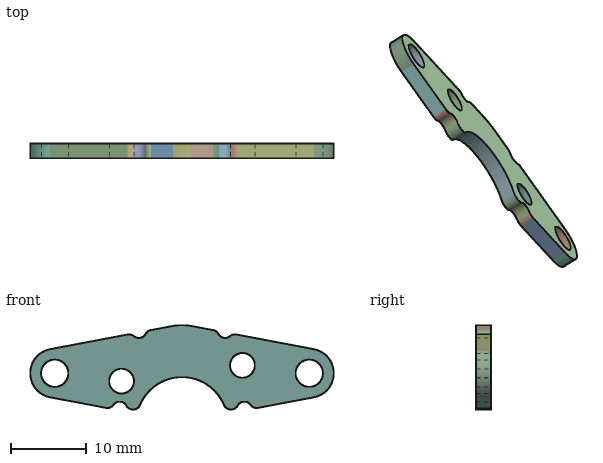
import cadquery as cq
import math

length = 40.0
thickness = 2.0
end_radius = 3.25
crown_radius = 6.35
end_hole_diameter = 3.55
inner_hole_diameter = 3.25
inner_hole_x = 7.95
inner_hole_z = 1.05
bore_radius = 6.0
bore_top_z = -0.5
lug_bottom_z = -4.8
notch_radius = 1.0
upper_notch_x = -5.7
upper_notch_z = 5.66
lower_notch_z = -4.75

end_x = length / 2 - end_radius
edge_angle = math.asin((crown_radius - end_radius) / end_x)
edge_sin = math.sin(edge_angle)
edge_cos = math.cos(edge_angle)
origin = (0, 0)
end_center = (-end_x, 0)
bore_center = (0, bore_top_z - bore_radius)
lug_z = lug_bottom_z + notch_radius
lug_x = -math.sqrt((bore_radius + notch_radius) ** 2 - (lug_z - bore_center[1]) ** 2)
lug_center = (lug_x, lug_z)
lower_notch_x = lug_x - math.sqrt((2 * notch_radius) ** 2 - (lug_z - lower_notch_z) ** 2)
lower_notch = (lower_notch_x, lower_notch_z)
upper_notch = (upper_notch_x, upper_notch_z)


def between(start, end, fraction):
    """Point at a fraction of the way from start to end."""
    return tuple(a + fraction * (b - a) for a, b in zip(start, end))


def tangent_point(center, radius, side):
    """Point where a sloping edge touches a circle; side is 1 for upper, -1 for lower."""
    return (center[0] - radius * edge_sin, center[1] + side * radius * edge_cos)


def notch_blend(notch, side, direction):
    """Centre of the arc joining a notch to an edge; direction 1 is toward the middle."""
    along = notch[0] * edge_cos + side * notch[1] * edge_sin
    outward = -notch[0] * edge_sin + side * notch[1] * edge_cos
    blend_outward = crown_radius - notch_radius
    run = math.sqrt((2 * notch_radius) ** 2 - (outward - blend_outward) ** 2)
    along += direction * run
    x = along * edge_cos - blend_outward * edge_sin
    z = side * (along * edge_sin + blend_outward * edge_cos)
    return (x, z)


def arc_to(path, start, end, center):
    """Extend the path by the shorter arc from start to end about a centre."""
    radius = math.dist(start, center)
    chord_middle = between(start, end, 0.5)
    middle = between(center, chord_middle, radius / math.dist(center, chord_middle))
    return path.threePointArc(middle, end)


def left_half():
    """Left half of the plate, from the middle of the crown round to the bore."""
    upper_inner = notch_blend(upper_notch, 1, 1)
    upper_outer = notch_blend(upper_notch, 1, -1)
    lower_outer = notch_blend(lower_notch, -1, -1)

    crown_top = (0, crown_radius)
    crown_end = tangent_point(origin, crown_radius, 1)
    inner_blend_start = tangent_point(upper_inner, notch_radius, 1)
    upper_notch_start = between(upper_inner, upper_notch, 0.5)
    upper_notch_end = between(upper_notch, upper_outer, 0.5)
    outer_blend_end = tangent_point(upper_outer, notch_radius, 1)
    end_top = tangent_point(end_center, end_radius, 1)
    end_bottom = tangent_point(end_center, end_radius, -1)
    lower_blend_start = tangent_point(lower_outer, notch_radius, -1)
    lower_notch_start = between(lower_outer, lower_notch, 0.5)
    lug_start = between(lower_notch, lug_center, 0.5)
    lug_end = between(bore_center, lug_center, bore_radius / (bore_radius + notch_radius))
    bore_top = (0, bore_top_z)

    path = cq.Workplane("XZ", origin=(0, thickness / 2, 0)).moveTo(*crown_top)
    path = arc_to(path, crown_top, crown_end, origin).lineTo(*inner_blend_start)
    path = arc_to(path, inner_blend_start, upper_notch_start, upper_inner)
    path = arc_to(path, upper_notch_start, upper_notch_end, upper_notch)
    path = arc_to(path, upper_notch_end, outer_blend_end, upper_outer)

    path = path.lineTo(*end_top)
    path = arc_to(path, end_top, end_bottom, end_center)
    path = path.lineTo(*lower_blend_start)

    path = arc_to(path, lower_blend_start, lower_notch_start, lower_outer)
    path = arc_to(path, lower_notch_start, lug_start, lower_notch)
    path = arc_to(path, lug_start, lug_end, lug_center)
    path = arc_to(path, lug_end, bore_top, bore_center)
    return path.close().extrude(thickness)


def through_holes(centers, diameter):
    """Cylinders that cut holes through the plate thickness."""
    plane = cq.Workplane("XZ", origin=(0, thickness / 2, 0))
    return plane.pushPoints(centers).circle(diameter / 2).extrude(thickness)


half = left_half()
plate = half.union(half.mirror("YZ")).clean()
end_holes = through_holes([end_center, (end_x, 0)], end_hole_diameter)
inner_hole_centers = [(-inner_hole_x, -inner_hole_z), (inner_hole_x, inner_hole_z)]
inner_holes = through_holes(inner_hole_centers, inner_hole_diameter)
result = plate.cut(end_holes).cut(inner_holes)